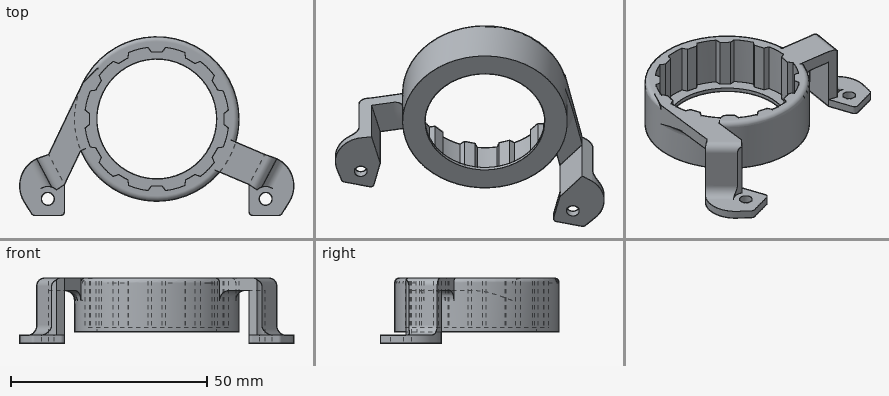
import cadquery as cq
import math

overall_length = 69.8
total_height = 16.6
ring_height = 13.7
ring_bottom = total_height - ring_height
foot_thickness = 2.1

ring_radius = 20.95
ring_top_round = 1.25
bore_radius = 15.2
floor_thickness = 1.05
socket_radius = 18.35
tooth_count = 12
tooth_tip_distance = 17.1
tooth_tip_half_width = 1.4
tooth_root_half_width = 2.4

arm_thickness = 3.2
leg_thickness = arm_thickness
leg_inner_upper = (27.5, -9.0)
leg_inner_lower = (23.45, -16.7)
leg_lower_end_angle = 33.0
right_arm_angle = 157.0
right_arm_length = 17.45
under_arm_round = 2.5
shoulder_round = 2.1
toe_round = 2.5
left_arm_runout = (-15.0, 13.0)

foot_front = -24.6
foot_arc_radius = 7.7
foot_arc_center = (overall_length / 2 - foot_arc_radius, -17.0)
foot_arc_end_angle = 66.0
foot_tangent_angle = -32.0
foot_corner_round = 1.0
foot_hole = (27.7, -20.3)
foot_hole_radius = 1.6
screw_head_radius = 3.15


def polar(center, radius, angle):
    """Point at a distance and an angle in degrees from a centre."""
    turn = math.radians(angle)
    return (center[0] + radius * math.cos(turn), center[1] + radius * math.sin(turn))


def plate(points, bottom, top):
    """Upright prism over a plan polygon."""
    return cq.Workplane("XY", origin=(0, 0, bottom)).polyline(points).close().extrude(top - bottom)


def cylinder(center, radius, bottom, top):
    return cq.Workplane("XY", origin=(*center, bottom)).circle(radius).extrude(top - bottom)


def mirror_plan(point):
    return (-point[0], point[1])


def make_ring():
    body = cylinder((0, 0), ring_radius, ring_bottom, total_height)
    return body.faces(">Z").edges().fillet(ring_top_round)


def make_socket():
    """Toothed hollow of the ring, with the plain bore through its floor."""
    floor_top = ring_bottom + floor_thickness
    hollow = cylinder((0, 0), socket_radius, floor_top, total_height)
    tooth_outline = [
        (tooth_tip_distance, -tooth_tip_half_width),
        (tooth_tip_distance, tooth_tip_half_width),
        (socket_radius, tooth_root_half_width),
        (ring_radius, tooth_root_half_width),
        (ring_radius, -tooth_root_half_width),
        (socket_radius, -tooth_root_half_width),
    ]
    tooth = plate(tooth_outline, floor_top, total_height)
    for index in range(tooth_count):
        hollow = hollow.cut(tooth.rotate((0, 0, 0), (0, 0, 1), index * 360 / tooth_count))
    return hollow.union(cylinder((0, 0), bore_radius, ring_bottom, total_height))


def make_arm(outline):
    """Flat arm over a plan outline, with a concave round where its underside meets the ring."""
    arm_bottom = total_height - arm_thickness
    arm = plate(outline, arm_bottom, total_height)
    round_center = (ring_radius + under_arm_round, arm_bottom - under_arm_round)
    arc_middle = polar(round_center, under_arm_round, 135)
    collar = (
        cq.Workplane("XZ")
        .moveTo(bore_radius, total_height - ring_top_round)
        .lineTo(round_center[0], total_height - ring_top_round)
        .lineTo(round_center[0], arm_bottom)
        .threePointArc(arc_middle, (ring_radius, round_center[1]))
        .lineTo(bore_radius, round_center[1])
        .close()
        .revolve(360, (0, 0, 0), (0, 1, 0))
    )
    return arm.union(plate(outline, round_center[1], total_height).intersect(collar))


def right_arm_outline():
    return [
        leg_inner_upper,
        polar(leg_inner_upper, right_arm_length, right_arm_angle),
        polar(leg_inner_lower, right_arm_length, right_arm_angle),
        leg_inner_lower,
    ]


def left_arm_outline():
    """Outer edge tangent to the ring; inner edge parallel to it, stopping on the ring's wall."""
    outer_start = mirror_plan(leg_inner_upper)
    inner_start = mirror_plan(leg_inner_lower)
    start_distance = math.hypot(*outer_start)
    start_angle = math.degrees(math.atan2(outer_start[1], outer_start[0]))
    tangent_angle = start_angle - math.degrees(math.acos(ring_radius / start_distance))
    tangent_length = math.sqrt(start_distance**2 - ring_radius**2)
    tangent_point = polar((0, 0), ring_radius, tangent_angle)
    arm_angle = math.radians(tangent_angle - 90)
    chord_along = -inner_start[0] * math.cos(arm_angle) - inner_start[1] * math.sin(arm_angle)
    chord_offset_squared = inner_start[0] ** 2 + inner_start[1] ** 2 - chord_along**2
    inner_length = chord_along - math.sqrt(ring_radius**2 - chord_offset_squared)
    wall_point = polar(inner_start, inner_length, math.degrees(arm_angle))
    wall_angle = math.degrees(math.atan2(wall_point[1], wall_point[0]))
    hollow_point = polar((0, 0), bore_radius, wall_angle)
    return [outer_start, tangent_point, left_arm_runout, hollow_point, wall_point, inner_start]


def make_foot(bottom, top):
    """Prism over the foot's plan outline, which also covers the foot of the leg."""
    tangent_point = polar(foot_arc_center, foot_arc_radius, foot_tangent_angle)
    drop = tangent_point[1] - foot_front
    outer_corner_x = tangent_point[0] + drop * math.tan(math.radians(foot_tangent_angle))
    arc_middle_angle = (foot_arc_end_angle + foot_tangent_angle) / 2
    foot = (
        cq.Workplane("XY", origin=(0, 0, bottom))
        .moveTo(*leg_inner_upper)
        .lineTo(*leg_inner_lower)
        .lineTo(leg_inner_lower[0], foot_front)
        .lineTo(outer_corner_x, foot_front)
        .lineTo(*tangent_point)
        .threePointArc(
            polar(foot_arc_center, foot_arc_radius, arc_middle_angle),
            polar(foot_arc_center, foot_arc_radius, foot_arc_end_angle),
        )
        .close()
        .extrude(top - bottom)
    )
    front_corners = foot.faces("<Y").edges("|Z")
    return front_corners.fillet(foot_corner_round)


def make_leg():
    """Upright leg with a rounded shoulder, a concave round at the foot and screw-head clearance."""
    along = cq.Vector(
        leg_inner_upper[0] - leg_inner_lower[0],
        leg_inner_upper[1] - leg_inner_lower[1],
    )
    outward = cq.Vector(along.y, -along.x).normalized()
    leg_plane = cq.Plane(origin=(*leg_inner_lower, 0), xDir=outward, normal=-along)
    shoulder_center = (leg_thickness - shoulder_round, total_height - shoulder_round)
    toe_center = (leg_thickness + toe_round, foot_thickness + toe_round)
    side_profile = (
        cq.Workplane(leg_plane)
        .lineTo(0, total_height)
        .lineTo(shoulder_center[0], total_height)
        .threePointArc(
            polar(shoulder_center, shoulder_round, 45),
            (leg_thickness, shoulder_center[1]),
        )
        .lineTo(leg_thickness, toe_center[1])
        .threePointArc(polar(toe_center, toe_round, 225), (toe_center[0], foot_thickness))
        .lineTo(toe_center[0], 0)
        .close()
        .extrude(2 * along.Length, both=True)
    )
    reach = 2 * toe_center[0]
    end_outline = [
        leg_inner_upper,
        leg_inner_lower,
        polar(leg_inner_lower, reach, -leg_lower_end_angle),
        polar(leg_inner_upper, reach, 0),
    ]
    leg = side_profile.intersect(plate(end_outline, 0, total_height))
    leg = leg.intersect(make_foot(0, total_height))
    return leg.cut(cylinder(foot_hole, screw_head_radius, foot_thickness, total_height))


def make_support():
    foot = make_foot(0, foot_thickness)
    screw_hole = cylinder(foot_hole, foot_hole_radius, 0, foot_thickness)
    return foot.union(make_leg()).cut(screw_hole)


right_support = make_support()
left_support = right_support.mirror("YZ")

result = (
    make_ring()
    .union(make_arm(right_arm_outline()))
    .union(make_arm(left_arm_outline()))
    .cut(make_socket())
    .union(right_support)
    .union(left_support)
)